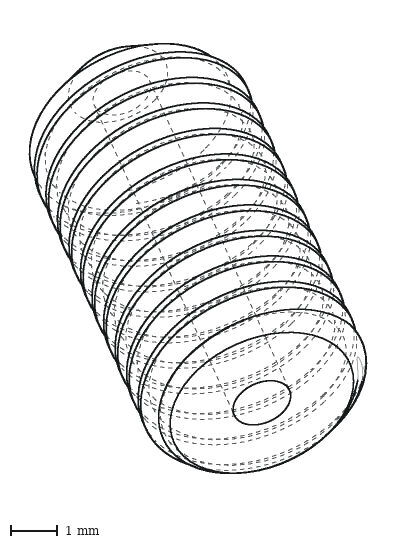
import cadquery as cq
import math

length = 10.0
major_radius = 2.5

point_radius = 1.12
point_length = major_radius - point_radius
hole_radius = 0.65
cup_angle = 120.0
cup_depth = (point_radius - hole_radius) / math.tan(math.radians(cup_angle / 2))
end_chamfer = 0.43

pitch = 0.8
groove_radius = 0.31
groove_depth = 0.32
arc_centre_depth = groove_depth - groove_radius
groove_start = 0.19 - pitch
groove_turns = 14

rod_allowance = 2.0

clearance = 0.2


def make_thread_groove():
    """Round-bottomed helical cutter running out past both ends of the screw."""
    helix = cq.Wire.makeHelix(pitch, groove_turns * pitch, major_radius)
    cutter = (
        cq.Workplane("XZ", origin=(major_radius, 0, 0))
        .moveTo(-arc_centre_depth, -groove_radius)
        .threePointArc((-groove_depth, 0), (-arc_centre_depth, groove_radius))
        .lineTo(clearance, groove_radius)
        .lineTo(clearance, -groove_radius)
        .close()
        .sweep(cq.Workplane(obj=helix), isFrenet=True)
    )
    return cutter.rotate((0, 0, 0), (0, 1, 0), 90).translate((groove_start, 0, 0))


def make_turned_envelope():
    """Cone, cup, through hole and end chamfer, left oversize around the thread."""
    outer_radius = major_radius + clearance
    return (
        cq.Workplane("XY")
        .moveTo(0, point_radius)
        .lineTo(point_length + clearance, outer_radius)
        .lineTo(length - end_chamfer - clearance, outer_radius)
        .lineTo(length, major_radius - end_chamfer)
        .lineTo(length, hole_radius)
        .lineTo(cup_depth, hole_radius)
        .close()
        .revolve(360, (0, 0, 0), (1, 0, 0))
    )


rod = (
    cq.Workplane("YZ", origin=(-rod_allowance, 0, 0))
    .circle(major_radius)
    .extrude(length + 2 * rod_allowance)
)
threaded_rod = rod.cut(make_thread_groove())
result = threaded_rod.intersect(make_turned_envelope())